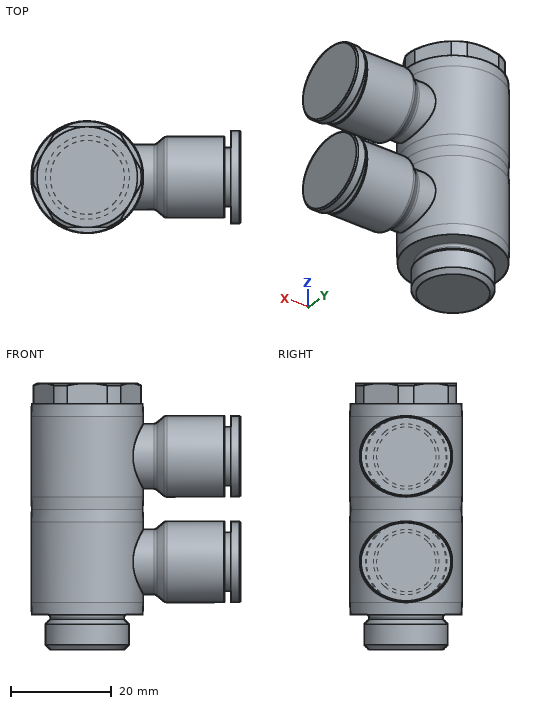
import cadquery as cq
import math


stud_height = 7.0
stud_radius = 8.35
stud_chamfer = 1.0
neck_radius = 7.4
neck_top_fillet = 0.5
neck_length = 0.95
shoulder_size = stud_radius - neck_radius

module_count = 2
module_height = 21.0
body_radius = 11.2
taper_length = 2.5
taper_angle = 3.0
body_end_radius = body_radius - taper_length * math.tan(math.radians(taper_angle))
body_top = stud_height + module_count * module_height

hex_height = 4.0
hex_across_flats = 20.0
hex_corner_radius = 10.75
hex_top_radius = hex_across_flats / 2
hex_chamfer_angle = 30.0
hex_turn = 90.0
hex_chamfer_drop = (hex_corner_radius - hex_top_radius) * math.tan(math.radians(hex_chamfer_angle))
overall_height = body_top + hex_height

port_neck_radius = 6.5
port_radius = 8.1
port_cone_start = 13.6
port_cone_angle = 40.0
port_cone_end = port_cone_start + (port_radius - port_neck_radius) / math.tan(math.radians(port_cone_angle))
port_blend_radius = 1.0
port_end = 27.4
port_end_chamfer = 0.2

sleeve_radius = 5.9
collar_start = 28.6
collar_end = 30.6
collar_half_width = 9.25
collar_half_height = 8.05
collar_chamfer = 0.3


def make_stud():
    """Stud with a chamfered tip and a relief neck blended into the body."""
    shoulder_top = stud_height - neck_length
    fillet_bottom = stud_height - neck_top_fillet
    fillet_middle = neck_top_fillet * (1 - math.sqrt(0.5))
    return (
        cq.Workplane("XZ")
        .moveTo(0, 0)
        .lineTo(stud_radius - stud_chamfer, 0)
        .lineTo(stud_radius, stud_chamfer)
        .lineTo(stud_radius, shoulder_top - shoulder_size)
        .lineTo(neck_radius, shoulder_top)
        .lineTo(neck_radius, fillet_bottom)
        .threePointArc(
            (neck_radius + fillet_middle, stud_height - fillet_middle),
            (neck_radius + neck_top_fillet, stud_height),
        )
        .lineTo(0, stud_height)
        .close()
        .revolve(360, (0, 0), (0, 1))
    )


def make_module(base):
    """One banjo body standing at height base."""
    top = base + module_height
    return (
        cq.Workplane("XZ")
        .moveTo(0, base)
        .lineTo(body_end_radius, base)
        .lineTo(body_radius, base + taper_length)
        .lineTo(body_radius, top - taper_length)
        .lineTo(body_end_radius, top)
        .lineTo(0, top)
        .close()
        .revolve(360, (0, 0), (0, 1))
    )


def make_hex_head():
    """Hexagon with flats facing +Y and -Y, its corners turned round and chamfered on top."""
    hexagon = (
        cq.Workplane("XY")
        .workplane(offset=body_top)
        .transformed(rotate=(0, 0, hex_turn))
        .polygon(6, hex_across_flats, circumscribed=True)
        .extrude(hex_height)
    )
    turned_blank = (
        cq.Workplane("XZ")
        .moveTo(0, body_top)
        .lineTo(hex_corner_radius, body_top)
        .lineTo(hex_corner_radius, overall_height - hex_chamfer_drop)
        .lineTo(hex_top_radius, overall_height)
        .lineTo(0, overall_height)
        .close()
        .revolve(360, (0, 0), (0, 1))
    )
    return hexagon.intersect(turned_blank)


def make_port_shell(height):
    """Round port with a conical neck, starting at the column axis."""
    cone_edges = cq.selectors.BoxSelector(
        (port_cone_start - port_blend_radius, -body_radius, height - body_radius),
        (port_cone_end + port_blend_radius, body_radius, height + body_radius),
        boundingbox=True,
    )
    return (
        cq.Workplane("XZ")
        .moveTo(0, height)
        .lineTo(0, height + port_neck_radius)
        .lineTo(port_cone_start, height + port_neck_radius)
        .lineTo(port_cone_end, height + port_radius)
        .lineTo(port_end, height + port_radius)
        .lineTo(port_end, height)
        .close()
        .revolve(360, (0, height), (1, height))
        .faces(">X")
        .chamfer(port_end_chamfer)
        .edges("%CIRCLE")
        .edges(cone_edges)
        .fillet(port_blend_radius)
    )


def make_collar(height):
    """Oval release collar with the sleeve that joins it to the port."""
    sleeve = (
        cq.Workplane("YZ", origin=(port_end, 0, height))
        .circle(sleeve_radius)
        .extrude(collar_start - port_end)
    )
    flange = (
        cq.Workplane("YZ", origin=(collar_start, 0, height))
        .ellipse(collar_half_width, collar_half_height)
        .extrude(collar_end - collar_start)
        .faces(">X")
        .chamfer(collar_chamfer)
    )
    return sleeve.union(flange)


result = make_stud().union(make_hex_head())
for index in range(module_count):
    module_base = stud_height + index * module_height
    port_height = module_base + module_height / 2
    result = result.union(make_module(module_base))
    result = result.union(make_port_shell(port_height))
    result = result.union(make_collar(port_height))